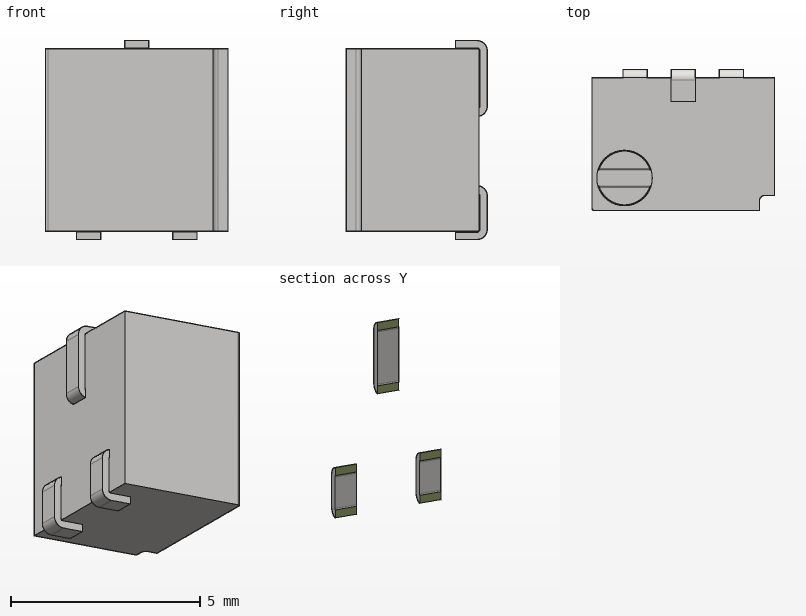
import cadquery as cq

overall_depth = 3.73
overall_height = 5.26

lead_thickness = 0.2
lead_gap = 0.015
lead_width = 0.645
lead_bend_radius = 0.275
lead_arm = 0.845
lead_spacing = 1.275
upper_lead_drop = 2.01
lower_lead_rise = 1.425
lead_standoff = lead_thickness + lead_gap

body_width = 4.83
body_depth = overall_depth - lead_standoff
body_height = overall_height - 2 * lead_standoff
body_top = body_height / 2
corner_radius = 0.07
notch_size = 0.4
notch_radius = 0.135

bore_diameter = 1.47
screw_diameter = 1.42
screw_inset = 0.865
slot_width = 0.485
slot_depth = 0.35
slot_floor_radius = 0.03
screw_x = screw_inset - body_width / 2
screw_y = screw_inset - body_depth


def make_body():
    """Housing block with a rounded front-left edge and a notched front-right edge."""
    block = cq.Workplane("XY").box(body_width, body_depth, body_height)
    block = block.translate((0, -body_depth / 2, 0))
    block = block.edges("|Z and <X and <Y").fillet(corner_radius)
    notch = (
        cq.Workplane("XY")
        .box(2 * notch_size, 2 * notch_size, body_height)
        .edges("|Z and <X and >Y")
        .fillet(notch_radius)
        .translate((body_width / 2, -body_depth, 0))
    )
    return block.cut(notch)


def make_screw_recess():
    """Clearance ring around the screw head together with its driver slot."""
    bore = cq.Workplane("XY").circle(bore_diameter / 2).extrude(-slot_depth)
    head = cq.Workplane("XY").circle(screw_diameter / 2).extrude(-slot_depth)
    slot = cq.Workplane("XY").box(bore_diameter, slot_width, 2 * slot_depth)
    slot = slot.edges("|X and <Z").fillet(slot_floor_radius)
    slotted_head = head.cut(slot)
    return bore.cut(slotted_head).translate((screw_x, screw_y, body_top))


def make_lead(center_x, length):
    """C-shaped strip: one arm over the top face, the other embedded in the back of the housing."""
    middle_z = (overall_height - length) / 2
    middle_y = lead_standoff - lead_arm / 2
    strip = cq.Workplane("XY").box(lead_width, lead_arm, length)
    strip = strip.edges("|X and >Y").fillet(lead_bend_radius)
    opening = (
        cq.Workplane("XY")
        .box(lead_width, lead_arm, length - 2 * lead_thickness)
        .edges("|X and >Y")
        .fillet(lead_bend_radius - lead_thickness)
        .translate((0, -lead_thickness, 0))
    )
    return strip.cut(opening).translate((center_x, middle_y, middle_z))


result = make_body().cut(make_screw_recess())
result = result.union(make_lead(0, upper_lead_drop))
for side in (-1, 1):
    lower_lead = make_lead(side * lead_spacing, lower_lead_rise).mirror("XY")
    result = result.union(lower_lead)